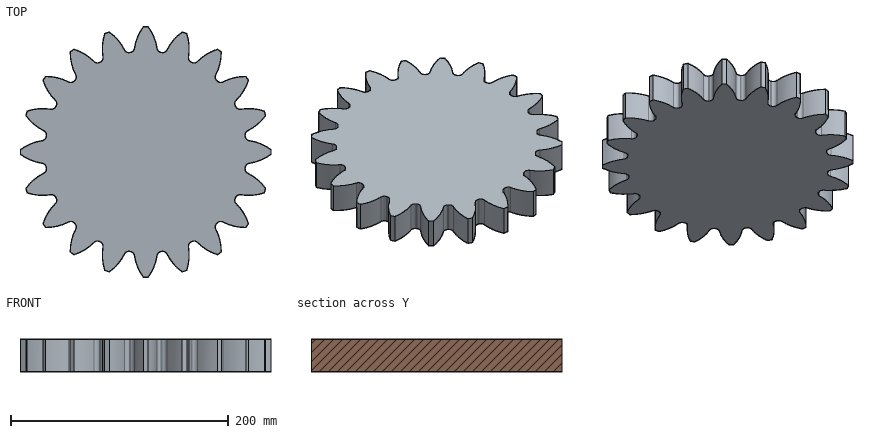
import cadquery as cq
import math

TOOTH_COUNT = 20
OUTSIDE_DIAMETER = 230.8
THICKNESS = 30
ROOT_RADIUS = 92.8
ROOT_FILLET_RADIUS = 4.5
ROOT_THICKNESS = 21.7
PITCH_THICKNESS = 16.2
TIP_THICKNESS = 4.5

tip_radius = OUTSIDE_DIAMETER / 2
module_size = OUTSIDE_DIAMETER / (TOOTH_COUNT + 2)
pitch_radius = TOOTH_COUNT * module_size / 2
tooth_pitch = 2 * math.pi / TOOTH_COUNT


def half_angle(thickness, radius):
    """Half the angle that a tooth thickness spans at a radius."""
    return math.asin(thickness / 2 / radius)


def polar_point(radius, angle):
    return (radius * math.cos(angle), radius * math.sin(angle))


root_half_angle = half_angle(ROOT_THICKNESS, ROOT_RADIUS)
pitch_half_angle = half_angle(PITCH_THICKNESS, pitch_radius)
tip_half_angle = half_angle(TIP_THICKNESS, tip_radius)


def add_tooth(outline, axis):
    """Draw one tooth about its axis angle, then the root land up to the next tooth."""
    next_axis = axis + tooth_pitch
    return (
        outline
        .threePointArc(
            polar_point(pitch_radius, axis - pitch_half_angle),
            polar_point(tip_radius, axis - tip_half_angle),
        )
        .threePointArc(
            polar_point(tip_radius, axis),
            polar_point(tip_radius, axis + tip_half_angle),
        )
        .threePointArc(
            polar_point(pitch_radius, axis + pitch_half_angle),
            polar_point(ROOT_RADIUS, axis + root_half_angle),
        )
        .threePointArc(
            polar_point(ROOT_RADIUS, axis + tooth_pitch / 2),
            polar_point(ROOT_RADIUS, next_axis - root_half_angle),
        )
    )


outline = cq.Workplane("XY").moveTo(*polar_point(ROOT_RADIUS, -root_half_angle))
for index in range(TOOTH_COUNT):
    outline = add_tooth(outline, index * tooth_pitch)
gear = outline.close().extrude(THICKNESS)

corner_edges = gear.edges("|Z").filter(
    lambda edge: math.hypot(edge.Center().x, edge.Center().y) < pitch_radius
)
result = corner_edges.fillet(ROOT_FILLET_RADIUS)